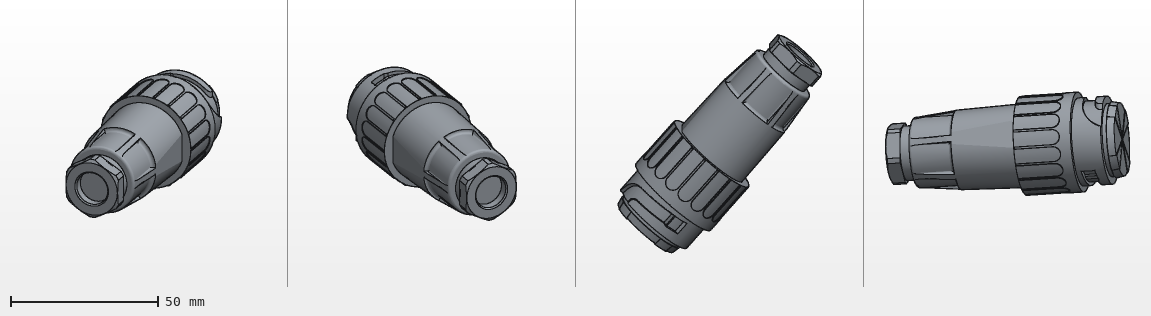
import cadquery as cq
import math

length = 80.3

nut_end = 5.0
cap_start = 8.5
body_start = 23.5
collar_start = 45.8
ring_start = 65.75
ring_end = 75.9
lip_start = 77.4

neck_radius = 18.6 / 2
cap_radius = 12.05
cap_fillet = 1.0
body_small_radius = 13.6
body_mid_radius = 13.9
body_large_radius = 14.3
collar_radius = 34.0 / 2
collar_chamfer = 0.3
ring_radius = 30.0 / 2
lip_neck_radius = 25.0 / 2
lip_radius = 13.0

nut_sides = 6
nut_across_flats = 19.2
nut_corner_radius = 10.6
nut_face_radius = 9.5
nut_chamfer_height = 0.65
bore_radius = 11.5 / 2
bore_chamfer = 0.5
bore_depth = 3.5

rib_count = 6
rib_width = 2.25
rib_root_fillet = 0.4
flat_count = 2
flat_distance = 13.4

panel_count = 18
panel_width = 5.1
panel_depth = 0.28
panel_end = 61.9

segment_count = 4
segment_start_angle = 20.0
segment_sweep = 27.5
segment_height = 0.1
end_face_drop = 0.25

slot_count = 2
slot_floor_radius = 13.8
slot_width = 4.2
slot_slope = 0.07
slot_end_angle = 120.5
slot_end_y = 67.5
pocket_floor_radius = 13.0
step_top_radius = 13.4
step_foot_side = -3.05
channel_base_z = 4.8
pocket_extra_width = 0.6
pocket_side = -2.6
ramp_side = -1.4
entry_side = 11.65
entry_fillet = 2.0
entry_low_z = 0.4
entry_bend_y = 71.3
entry_bend_z = 3.6

reach = 2 * collar_radius


def along_y(radius, start, end):
    """Cylinder about the Y axis between two stations."""
    return cq.Workplane("XZ", origin=(0, start, 0)).circle(radius).extrude(start - end)


def around_y(shape, count, step):
    """Union of copies of a shape turned about the Y axis."""
    copies = shape
    for index in range(1, count):
        copies = copies.union(shape.rotate((0, 0, 0), (0, 1, 0), index * step))
    return copies


def revolved_core():
    """Neck, cap, rear body, collar, ring and mating lip as one turned shape."""
    diagonal = cap_fillet * math.sqrt(0.5)
    cap_foot_radius = cap_radius - cap_fillet
    round_top = cap_start + cap_fillet
    end_face_y = length - end_face_drop
    cove_start = body_start - cap_fillet
    cove_radius = cap_radius + cap_fillet
    return (
        cq.Workplane("XY")
        .moveTo(0, nut_end)
        .lineTo(neck_radius, nut_end)
        .lineTo(neck_radius, cap_start)
        .lineTo(cap_foot_radius, cap_start)
        .threePointArc((cap_foot_radius + diagonal, round_top - diagonal), (cap_radius, round_top))
        .lineTo(cap_radius, cove_start)
        .threePointArc((cove_radius - diagonal, cove_start + diagonal), (cove_radius, body_start))
        .lineTo(body_small_radius, body_start)
        .threePointArc(
            (body_mid_radius, (body_start + collar_start) / 2), (body_large_radius, collar_start)
        )
        .lineTo(collar_radius - collar_chamfer, collar_start)
        .lineTo(collar_radius, collar_start + collar_chamfer)
        .lineTo(collar_radius, ring_start)
        .lineTo(ring_radius, ring_start)
        .lineTo(ring_radius, ring_end)
        .lineTo(lip_neck_radius, ring_end)
        .lineTo(lip_neck_radius, lip_start)
        .lineTo(lip_radius, lip_start)
        .lineTo(lip_neck_radius, end_face_y)
        .lineTo(0, end_face_y)
        .close()
        .revolve(360, (0, 0, 0), (0, 1, 0))
    )


def cap_ribs():
    """Radial ribs that fade from the body edge down to the cap."""
    cone = (
        cq.Workplane("XY")
        .moveTo(0, cap_start + cap_fillet)
        .lineTo(cap_radius, cap_start + cap_fillet)
        .lineTo(body_small_radius, body_start)
        .lineTo(0, body_start)
        .close()
        .revolve(360, (0, 0, 0), (0, 1, 0))
    )
    half_width = rib_width / 2
    foot_half_width = half_width + rib_root_fillet
    foot_x = math.sqrt(cap_radius**2 - foot_half_width**2)
    side_x = foot_x + rib_root_fillet
    blade = (
        cq.Workplane("XZ")
        .moveTo(0, -foot_half_width)
        .lineTo(foot_x, -foot_half_width)
        .radiusArc((side_x, -half_width), rib_root_fillet)
        .lineTo(body_large_radius, -half_width)
        .lineTo(body_large_radius, half_width)
        .lineTo(side_x, half_width)
        .radiusArc((foot_x, foot_half_width), rib_root_fillet)
        .lineTo(0, foot_half_width)
        .close()
        .extrude(-body_start)
    )
    return cone.intersect(around_y(blade, rib_count, 360 / rib_count))


def body_flats():
    """Material outside the two side flats of the rear body."""
    slab = cq.Workplane("XY").box(reach, collar_start - cap_start, reach, centered=(False, False, True))
    return around_y(slab.translate((flat_distance, cap_start, 0)), flat_count, 360 / flat_count)


def grip_panels():
    """Round-topped recesses around the collar, open at its rear face."""
    half_width = panel_width / 2
    shoulder = panel_end - half_width
    panel = (
        cq.Workplane("XY")
        .moveTo(-half_width, collar_start)
        .lineTo(half_width, collar_start)
        .lineTo(half_width, shoulder)
        .threePointArc((0, panel_end), (-half_width, shoulder))
        .close()
        .extrude(reach)
    )
    floor = along_y(collar_radius - panel_depth, collar_start, ring_start)
    return around_y(panel.cut(floor), panel_count, 360 / panel_count)


def lip_segments():
    """Raised tapered segments around the mating lip, reaching its end face."""
    first = math.radians(segment_start_angle)
    last = math.radians(segment_start_angle + segment_sweep)
    sector = (
        cq.Workplane("XZ", origin=(0, length, 0))
        .lineTo(reach * math.cos(first), reach * math.sin(first))
        .lineTo(reach * math.cos(last), reach * math.sin(last))
        .close()
        .extrude(length - lip_start)
    )
    sectors = around_y(sector, segment_count, 360 / segment_count)
    raised_cone = (
        cq.Workplane("XY")
        .moveTo(0, lip_start)
        .lineTo(lip_radius + segment_height, lip_start)
        .lineTo(lip_neck_radius + segment_height, length)
        .lineTo(0, length)
        .close()
        .revolve(360, (0, 0, 0), (0, 1, 0))
    )
    return raised_cone.intersect(sectors)


def bayonet_slots():
    """Sloped slots with a locking pocket at one end and an open entry at the other."""
    end_angle = math.radians(slot_end_angle)
    end_x = ring_radius * math.cos(end_angle)

    def low_edge(x):
        return slot_end_y + slot_slope * (x - end_x)

    def high_edge(x):
        return low_edge(x) + slot_width

    def pocket_edge(x):
        return high_edge(x) + pocket_extra_width

    fillet_x = entry_side - entry_fillet
    fillet_y = high_edge(fillet_x)
    channel = (
        cq.Workplane("XY", origin=(0, 0, channel_base_z))
        .moveTo(-collar_radius, low_edge(-collar_radius))
        .lineTo(entry_side, low_edge(entry_side))
        .lineTo(entry_side, fillet_y + entry_fillet)
        .radiusArc((fillet_x, fillet_y), entry_fillet)
        .lineTo(ramp_side, high_edge(ramp_side))
        .lineTo(pocket_side, pocket_edge(pocket_side))
        .lineTo(-collar_radius, pocket_edge(-collar_radius))
        .close()
        .extrude(collar_radius)
    )
    ahead_of_end = (
        cq.Workplane("XZ", origin=(0, length, 0))
        .lineTo(reach * math.cos(end_angle), reach * math.sin(end_angle))
        .lineTo(reach, reach)
        .lineTo(reach, 0)
        .close()
        .extrude(length - collar_start)
    )
    channel = channel.intersect(ahead_of_end)

    entry_high_z = math.sqrt(ring_radius**2 - entry_side**2)
    entry = (
        cq.Workplane("YZ", origin=(entry_side, 0, 0))
        .moveTo(ring_end, entry_low_z)
        .threePointArc((entry_bend_y, entry_bend_z), (low_edge(entry_side), entry_high_z))
        .lineTo(ring_end, entry_high_z)
        .close()
        .extrude(reach)
    )

    raised_side = (
        cq.Workplane("XZ", origin=(0, lip_start, 0))
        .moveTo(step_foot_side, 0)
        .lineTo(step_foot_side, math.sqrt(pocket_floor_radius**2 - step_foot_side**2))
        .lineTo(pocket_side, math.sqrt(step_top_radius**2 - pocket_side**2))
        .lineTo(ramp_side, math.sqrt(slot_floor_radius**2 - ramp_side**2))
        .lineTo(ramp_side, reach)
        .lineTo(reach, reach)
        .lineTo(reach, 0)
        .close()
        .extrude(lip_start - collar_start)
    )
    floor = along_y(slot_floor_radius, collar_start, lip_start).intersect(raised_side)
    floor = floor.union(along_y(pocket_floor_radius, collar_start, lip_start))
    slot = channel.union(entry).cut(floor)
    return around_y(slot, slot_count, 360 / slot_count)


def gland_nut():
    """Hexagonal nut with turned corners and a blind cable bore."""
    hexagon = (
        cq.Workplane("XZ")
        .polygon(nut_sides, nut_across_flats / math.cos(math.pi / nut_sides))
        .extrude(-nut_end)
        .rotate((0, 0, 0), (0, 1, 0), 180 / nut_sides)
    )
    envelope = (
        cq.Workplane("XY")
        .lineTo(nut_face_radius, 0)
        .lineTo(nut_corner_radius, nut_chamfer_height)
        .lineTo(nut_corner_radius, nut_end)
        .lineTo(0, nut_end)
        .close()
        .revolve(360, (0, 0, 0), (0, 1, 0))
    )
    bore = (
        cq.Workplane("XY")
        .lineTo(bore_radius + bore_chamfer, 0)
        .lineTo(bore_radius, bore_chamfer)
        .lineTo(bore_radius, bore_depth)
        .lineTo(0, bore_depth)
        .close()
        .revolve(360, (0, 0, 0), (0, 1, 0))
    )
    return hexagon.intersect(envelope).cut(bore)


result = (
    revolved_core()
    .union(lip_segments())
    .union(cap_ribs())
    .cut(body_flats())
    .cut(grip_panels())
    .cut(bayonet_slots())
    .union(gland_nut())
)